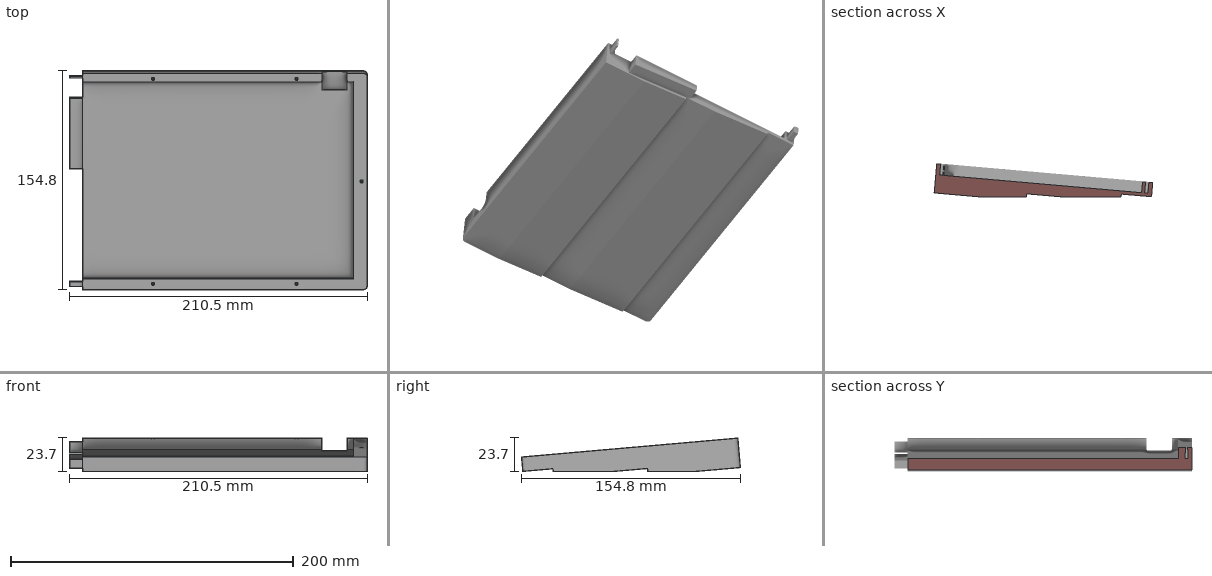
import cadquery as cq
import math

TOTAL_LENGTH = 210.54
TOTAL_WIDTH = 154.85
TOTAL_HEIGHT = 23.67
TILT_DEGREES = 5.0

TAB_LENGTH = 9.2
MIDDLE_LAYER_EXTRA = 5.65
DEEP_LAYER_EXTRA = 10.7
MIDDLE_LAYER_START = 21.4
DEEP_LAYER_START = 88.0
CORNER_RADIUS = 3.0

RECESS_DEPTH = 7.75
FRONT_RIM = 7.6
BACK_RIM = 6.0
END_RIM = 10.0

NOTCH_LENGTH = 17.8
NOTCH_WIDTH = 12.7
NOTCH_END_OFFSET = 14.4
NOTCH_FILLET = 5.1
NOTCH_DEPTH = RECESS_DEPTH + NOTCH_FILLET

HOLE_DIAMETER = 2.0
HOLE_DEPTH = RECESS_DEPTH
RIM_HOLE_POSITIONS = (49.8, 151.2)
HOLE_EDGE_OFFSET = 4.1

FRONT_TAB_OFFSET = 2.0
FRONT_TAB_WIDTH = 3.5
FRONT_TAB_TOP = 2.05
FRONT_TAB_HEIGHT = 6.1
BACK_TAB_OFFSET = 2.3
BACK_TAB_WIDTH = 1.3
BACK_TAB_TOP = 2.35
BACK_TAB_HEIGHT = 7.9
WEDGE_TAB_START = 84.9
WEDGE_TAB_WIDTH = 50.0
WEDGE_TAB_TOP = 10.0
WEDGE_TAB_BOTTOM_Z = 2.1

TILT_SIN = math.sin(math.radians(TILT_DEGREES))
TILT_COS = math.cos(math.radians(TILT_DEGREES))
BODY_LENGTH = TOTAL_LENGTH - TAB_LENGTH
SLOPE_LENGTH = (
    (TOTAL_WIDTH - DEEP_LAYER_EXTRA * TILT_SIN) * TILT_COS - TOTAL_HEIGHT * TILT_SIN
) / (TILT_COS**2 - TILT_SIN**2)
FRONT_DEPTH = (TOTAL_HEIGHT - SLOPE_LENGTH * TILT_SIN) / TILT_COS
MIDDLE_DEPTH = FRONT_DEPTH + MIDDLE_LAYER_EXTRA
BACK_DEPTH = FRONT_DEPTH + DEEP_LAYER_EXTRA

TILTED = cq.Plane(
    origin=(0, -FRONT_DEPTH * TILT_SIN, FRONT_DEPTH * TILT_COS),
    xDir=(1, 0, 0),
    normal=(0, -TILT_SIN, TILT_COS),
)


def tilted_box(x_start, x_end, slope_start, slope_end, top_depth, bottom_depth):
    """Box in the tilted frame, between two depths below the top face."""
    return (
        cq.Workplane(TILTED)
        .workplane(offset=-bottom_depth)
        .moveTo(x_start, slope_start)
        .rect(x_end - x_start, slope_end - slope_start, centered=False)
        .extrude(bottom_depth - top_depth)
    )


def above(height):
    """Large block that fills the space above a horizontal level."""
    size = 2 * TOTAL_LENGTH
    return cq.Workplane("XY").workplane(offset=height).rect(2 * size, 2 * size).extrude(size)


def make_body():
    """Three stacked tilted layers, rounded at the +X corners and cut level underneath."""
    body = tilted_box(0, BODY_LENGTH, 0, SLOPE_LENGTH, 0, FRONT_DEPTH)
    body = body.union(
        tilted_box(0, BODY_LENGTH, MIDDLE_LAYER_START, SLOPE_LENGTH, 0, MIDDLE_DEPTH)
    )
    body = body.union(
        tilted_box(0, BODY_LENGTH, DEEP_LAYER_START, SLOPE_LENGTH, 0, BACK_DEPTH)
    )
    envelope = tilted_box(0, BODY_LENGTH, 0, SLOPE_LENGTH, 0, BACK_DEPTH)
    upright_edges = envelope.edges(cq.selectors.ParallelDirSelector(TILTED.zDir))
    envelope = upright_edges.edges(">X").fillet(CORNER_RADIUS)
    return body.intersect(envelope).intersect(above(0))


def make_recess():
    return tilted_box(
        0, BODY_LENGTH - END_RIM, FRONT_RIM, SLOPE_LENGTH - BACK_RIM, 0, RECESS_DEPTH
    )


def make_notch():
    """Notch cutter with rounded lower edges along both sides."""
    x_end = BODY_LENGTH - NOTCH_END_OFFSET
    notch = tilted_box(
        x_end - NOTCH_LENGTH, x_end, SLOPE_LENGTH - NOTCH_WIDTH, SLOPE_LENGTH, 0, NOTCH_DEPTH
    )
    long_edges = notch.faces("<Z").edges(cq.selectors.ParallelDirSelector(TILTED.yDir))
    return long_edges.fillet(NOTCH_FILLET)


def make_holes():
    """Two pin holes in each long rim and one in the middle of the end rim."""
    centers = [(BODY_LENGTH - HOLE_EDGE_OFFSET, SLOPE_LENGTH / 2)]
    for x in RIM_HOLE_POSITIONS:
        centers.append((x, HOLE_EDGE_OFFSET))
        centers.append((x, SLOPE_LENGTH - HOLE_EDGE_OFFSET))
    return (
        cq.Workplane(TILTED).pushPoints(centers).circle(HOLE_DIAMETER / 2).extrude(-HOLE_DEPTH)
    )


def make_tab(slope_start, width, top_depth, bottom_depth):
    """Tab standing out of the -X end, between two depths below the top face."""
    return tilted_box(
        -TAB_LENGTH, 0, slope_start, slope_start + width, top_depth, bottom_depth
    )


def make_tabs():
    front = make_tab(
        FRONT_TAB_OFFSET, FRONT_TAB_WIDTH, FRONT_TAB_TOP, FRONT_TAB_TOP + FRONT_TAB_HEIGHT
    )
    back_start = SLOPE_LENGTH - BACK_TAB_OFFSET - BACK_TAB_WIDTH
    back = make_tab(back_start, BACK_TAB_WIDTH, BACK_TAB_TOP, BACK_TAB_TOP + BACK_TAB_HEIGHT)
    wedge = make_tab(WEDGE_TAB_START, WEDGE_TAB_WIDTH, WEDGE_TAB_TOP, BACK_DEPTH)
    return front.union(back).union(wedge.intersect(above(WEDGE_TAB_BOTTOM_Z)))


result = make_body().cut(make_recess()).cut(make_notch()).cut(make_holes()).union(make_tabs())